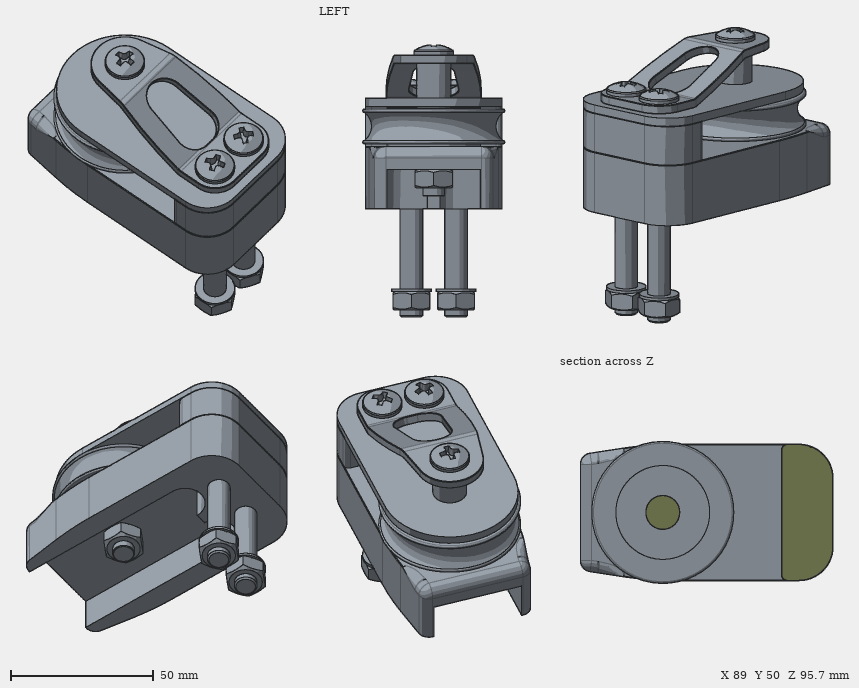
import cadquery as cq
import math


base_height = 21.9
plate_bottom = 36.0
plate_thickness = 3.0
plate_top = plate_bottom + plate_thickness
strap_thickness = 3.1
strap_low_top = plate_top + strap_thickness
strap_high_top = 54.2
strap_high_bottom = strap_high_top - strap_thickness

half_width = 24.0
back_x = 60.0
back_corner_radius = 12.1
base_edge_break = 0.3

nose_x = -29.0
nose_radius = 4.0
nose_half_width = 20.9
flare_start_x = -25.5
flare_corner_x = -4.8
flare_radius = 102.5
flare_slope = (half_width - nose_half_width) / (flare_corner_x - flare_start_x)
nose_corner_y = half_width - flare_slope * (flare_corner_x - nose_x)
nose_round_end_x = -22.8
runout_length = 9.6
runout_stations = (0.35, 0.7, 0.95)
cavity_half_width = 16.4
cavity_height = 13.8
rib_width = 4.4
lobe_radius = (2 * cavity_half_width - rib_width) / 4
lobe_center_x = 34.1

spacer_front_x = 41.8
spacer_front_radius = 2.1
spacer_edge_break = 0.2

sheave_radius = 25.0
sheave_half_height = 6.1
sheave_mid_height = 29.0
throat_radius = 21.9
rim_radius = 0.62
hub_diameter = 33.0
hub_top_rise = 0.4
pin_diameter = 12.0
pin_tail_diameter = 7.7
pin_tail_bottom = 4.5

strap_nose_radius = 12.0
strap_taper_angle = 10.5
strap_half_width = 16.8
strap_curve_start_x = 11.7
strap_curve_end_x = 38.4
strap_corner_radius = 8.9
upper_bend_x = 10.4
lower_bend_x = 39.1
bend_inner_radius = 2.8
strap_edge_break = 0.24
slot_front_x = 19.2
slot_front_radius = 7.3
slot_back_x = 32.95
slot_back_radius = 6.7
slot_back_offset = 2.0

screw_x = back_x - back_corner_radius
screw_y = 7.9
bolt_diameter = 8.0
bolt_bottom = -38.0
bolt_tip_chamfer = 0.6
pin_tip_chamfer = 0.3
head_diameter = 14.0
head_side_height = 1.15
head_round_height = 0.5
head_round_inset = 0.3
head_height = 3.6
recess_half_length = 3.5
recess_arm_width = 1.9
recess_corner_radius = 1.0
recess_depth = 2.9
recess_taper = 9.0
pin_recess_angle = 0.0
left_recess_angle = 53.0
right_recess_angle = 20.0
washer_top = -28.2
washer_thickness = 1.0
nut_across_flats = 13.0
nut_height = 6.5
nut_face_radius = 5.8
nut_chamfer_angle = 30.0

clearance = 0.5


def cylinder(diameter, bottom, top):
    return cq.Workplane("XY").workplane(offset=bottom).circle(diameter / 2).extrude(top - bottom)


def slab(x_start, x_end, half_y, bottom, top):
    """Box centred on Y = 0."""
    box = cq.Workplane("XY").box(x_end - x_start, 2 * half_y, top - bottom, centered=(False, True, False))
    return box.translate((x_start, 0, bottom))


def make_base_blank():
    """Tapered block with tall round corners at both ends."""
    corners = [
        (nose_x, -nose_corner_y),
        (flare_corner_x, -half_width),
        (back_x, -half_width),
        (back_x, half_width),
        (flare_corner_x, half_width),
        (nose_x, nose_corner_y),
    ]
    blank = cq.Workplane("XY").polyline(corners).close().extrude(base_height)
    blank = blank.edges("|Z and <X").fillet(nose_radius)
    blank = blank.edges("|Z and >X").fillet(back_corner_radius)
    flare_zone = cq.selectors.BoxSelector(
        (flare_corner_x - clearance, -half_width - clearance, -clearance),
        (flare_corner_x + clearance, half_width + clearance, base_height + clearance),
    )
    return blank.edges("|Z").edges(flare_zone).fillet(flare_radius)


def make_runout(side):
    """Tool that fades the nose rounding out along one side of the base."""
    flare_angle = math.atan(flare_slope)
    start_y = half_width - flare_slope * (flare_corner_x - nose_round_end_x)
    start = cq.Vector(nose_round_end_x, side * start_y, base_height)
    along = cq.Vector(math.cos(flare_angle), side * math.sin(flare_angle), 0)
    inward = cq.Vector(math.sin(flare_angle), -side * math.cos(flare_angle), 0)
    down = cq.Vector(0, 0, -1)

    def section(distance, inset, drop):
        """Edge waste outside a quarter ellipse, at a distance along the side."""
        def at(across, depth):
            return start + along * distance + inward * across + down * depth

        outward = inward * -1
        up = down * -1
        quarter = cq.Edge.makeEllipse(inset, drop, at(inset, drop), outward.cross(up), outward, 0, 90)
        corners = [
            at(inset, 0),
            at(inset, -clearance),
            at(-clearance, -clearance),
            at(-clearance, drop),
            at(0, drop),
        ]
        edges = [quarter]
        for begin, end in zip(corners, corners[1:]):
            edges.append(cq.Edge.makeLine(begin, end))
        return cq.Wire.assembleEdges(edges)

    full_round = section(0, nose_radius, nose_radius)
    lead_in = cq.Solid.makeLoft([section(-clearance, nose_radius, nose_radius), full_round], True)
    fading = [full_round]
    for fraction in runout_stations:
        inset = nose_radius * math.sqrt(1 - fraction**2)
        fading.append(section(fraction * runout_length, inset, nose_radius * (1 - fraction)))
    return cq.Workplane(obj=lead_in).union(cq.Workplane(obj=cq.Solid.makeLoft(fading)))


def make_cavity():
    """Pocket open at the nose and underneath, ending in two round lobes with a rib between."""
    cavity = slab(nose_x - clearance, lobe_center_x, cavity_half_width, -clearance, cavity_height)
    lobe_y = cavity_half_width - lobe_radius
    for y in (-lobe_y, lobe_y):
        lobe = cylinder(2 * lobe_radius, -clearance, cavity_height)
        cavity = cavity.union(lobe.translate((lobe_center_x, y, 0)))
    return cavity


def make_base():
    blank = make_base_blank()
    nose_zone = slab(nose_x - clearance, nose_round_end_x, half_width, 0, base_height)
    nose = blank.intersect(nose_zone)
    nose = nose.faces(">Z").edges("not(>X)").fillet(nose_radius)
    body = blank.cut(nose_zone)
    body = body.faces(">Z").edges("not(<X)").chamfer(base_edge_break)
    for side in (-1, 1):
        body = body.cut(make_runout(side))
    return nose.union(body).cut(make_cavity())


def make_spacer():
    spacer = slab(spacer_front_x, back_x, half_width, base_height, plate_bottom)
    spacer = spacer.edges("|Z and <X").fillet(spacer_front_radius)
    spacer = spacer.edges("|Z and >X").fillet(back_corner_radius)
    return spacer.faces(">Z").edges().chamfer(spacer_edge_break)


def make_cover_plate():
    plate = slab(0, back_x, half_width, plate_bottom, plate_top)
    plate = plate.edges("|Z and >X").fillet(back_corner_radius)
    return plate.union(cylinder(2 * half_width, plate_bottom, plate_top))


def make_sheave():
    """Grooved wheel with round rims and a raised hub that rests on the base."""
    rim_x = sheave_radius - rim_radius
    rim_z = sheave_half_height - rim_radius
    groove_z = sheave_half_height - 2 * rim_radius
    profile = (
        cq.Workplane("XZ")
        .moveTo(0, -sheave_half_height)
        .lineTo(rim_x, -sheave_half_height)
        .threePointArc((sheave_radius, -rim_z), (rim_x, -groove_z))
        .threePointArc((throat_radius, 0), (rim_x, groove_z))
        .threePointArc((sheave_radius, rim_z), (rim_x, sheave_half_height))
        .lineTo(0, sheave_half_height)
        .close()
    )
    wheel = profile.revolve(360, (0, 0), (0, 1)).translate((0, 0, sheave_mid_height))
    hub_top = sheave_mid_height + sheave_half_height + hub_top_rise
    return wheel.union(cylinder(hub_diameter, base_height, hub_top))


def make_strap_side():
    """Side profile of the strap: high end, sloping middle, low end."""
    slope_angle = math.atan2(strap_high_top - strap_low_top, lower_bend_x - upper_bend_x)
    bend_shift = strap_thickness * math.tan(slope_angle / 2)
    upper_x = upper_bend_x - bend_shift
    lower_x = lower_bend_x - bend_shift
    corners = [
        (-strap_nose_radius, strap_high_top),
        (upper_bend_x, strap_high_top),
        (lower_bend_x, strap_low_top),
        (back_x, strap_low_top),
        (back_x, plate_top),
        (lower_x, plate_top),
        (upper_x, strap_high_bottom),
        (-strap_nose_radius, strap_high_bottom),
    ]
    side = cq.Workplane("XZ").polyline(corners).close().extrude(half_width, both=True)
    bend_outer_radius = bend_inner_radius + strap_thickness
    bends = [
        (upper_bend_x, strap_high_top, bend_outer_radius),
        (upper_x, strap_high_bottom, bend_inner_radius),
        (lower_bend_x, strap_low_top, bend_inner_radius),
        (lower_x, plate_top, bend_outer_radius),
    ]
    for x, z, radius in bends:
        side = side.edges(cq.selectors.NearestToPointSelector((x, 0, z))).fillet(radius)
    return side, slope_angle


def make_strap():
    """Bent strap whose outline widens from the round nose to the screw end."""
    side, slope_angle = make_strap_side()
    taper = math.radians(strap_taper_angle)
    nose_end_x = -strap_nose_radius * math.sin(taper)
    nose_end_y = strap_nose_radius * math.cos(taper)
    curve_start_y = nose_end_y + (strap_curve_start_x - nose_end_x) * math.tan(taper)
    corner_y = strap_half_width - strap_corner_radius
    half_outline = (
        cq.Workplane("XY")
        .moveTo(-strap_nose_radius, 0)
        .radiusArc((nose_end_x, nose_end_y), strap_nose_radius)
        .lineTo(strap_curve_start_x, curve_start_y)
        .tangentArcPoint((strap_curve_end_x, strap_half_width), relative=False)
        .lineTo(screw_x, strap_half_width)
        .radiusArc((screw_x + strap_corner_radius, corner_y), strap_corner_radius)
        .lineTo(screw_x + strap_corner_radius, 0)
    )
    strap = half_outline.mirrorX().extrude(strap_high_top + clearance).intersect(side)
    strap = strap.faces(">X").edges("|Y").chamfer(strap_edge_break)
    strap = strap.cut(make_slot(slope_angle))
    return break_slot_edges(strap, slope_angle)


def break_slot_edges(strap, slope_angle):
    """Chamfer both rims of the slot; each chamfer follows the smooth rim from one straight side."""
    rim_x = (slot_front_x + slot_back_x) / 2
    rim_y = (slot_front_radius + slot_back_offset + slot_back_radius) / 2
    rim_z = strap_high_top - (rim_x - upper_bend_x) * math.tan(slope_angle)
    for depth in (0, strap_thickness):
        rim_point = (rim_x - depth * math.sin(slope_angle), rim_y, rim_z - depth * math.cos(slope_angle))
        rim_side = cq.selectors.NearestToPointSelector(rim_point)
        strap = strap.edges(rim_side).chamfer(strap_edge_break)
    return strap


def make_slot(slope_angle):
    """Tapered window cut square to the sloping part of the strap."""
    front_along = (slot_front_x - upper_bend_x) / math.cos(slope_angle)
    back_along = (slot_back_x - upper_bend_x) / math.cos(slope_angle)
    run = back_along - front_along
    spread = math.hypot(run, slot_back_offset)
    spread_angle = math.atan2(slot_back_offset, run)
    normal_angle = spread_angle + math.acos((slot_front_radius - slot_back_radius) / spread)
    normal_x = math.cos(normal_angle)
    normal_y = math.sin(normal_angle)
    slope_plane = cq.Plane(
        origin=(upper_bend_x, 0, strap_high_top),
        xDir=(math.cos(slope_angle), 0, -math.sin(slope_angle)),
        normal=(math.sin(slope_angle), 0, math.cos(slope_angle)),
    )
    front_tangent = (front_along + slot_front_radius * normal_x, slot_front_radius * normal_y)
    back_tangent = (back_along + slot_back_radius * normal_x, slot_back_offset + slot_back_radius * normal_y)
    half_outline = (
        cq.Workplane(slope_plane)
        .moveTo(front_along - slot_front_radius, 0)
        .radiusArc(front_tangent, slot_front_radius)
        .lineTo(*back_tangent)
        .radiusArc((back_along + slot_back_radius, slot_back_offset), slot_back_radius)
        .lineTo(back_along + slot_back_radius, 0)
    )
    return half_outline.mirrorX().extrude(2 * strap_thickness, both=True)


def make_screw_head(seat_height, recess_angle):
    """Domed head with a cross recess, centred on the Z axis."""
    radius = head_diameter / 2
    shoulder_radius = radius - head_round_inset
    shoulder_z = head_side_height + head_round_height
    dome_rise = head_height - shoulder_z
    dome_radius = (shoulder_radius**2 + dome_rise**2) / (2 * dome_rise)
    head = (
        cq.Workplane("XZ")
        .lineTo(radius, 0)
        .lineTo(radius, head_side_height)
        .lineTo(shoulder_radius, shoulder_z)
        .radiusArc((0, head_height), -dome_radius)
        .close()
        .revolve(360, (0, 0), (0, 1))
    )
    recess = make_cross_recess().translate((0, 0, head_height))
    head = head.cut(recess).rotate((0, 0, 0), (0, 0, 1), recess_angle)
    return head.translate((0, 0, seat_height))


def turned(x, y, angle):
    """Point turned about the origin."""
    return (
        x * math.cos(angle) - y * math.sin(angle),
        x * math.sin(angle) + y * math.cos(angle),
    )


def make_cross_recess():
    """Four-armed tapered tool with rounded inner corners, cutting down from Z = 0."""
    arm = recess_arm_width / 2
    root = arm + recess_corner_radius
    outline = cq.Workplane("XY").moveTo(recess_half_length, -arm)
    for quarter in range(4):
        angle = math.radians(90 * quarter)
        outline = outline.lineTo(*turned(recess_half_length, arm, angle))
        outline = outline.lineTo(*turned(root, arm, angle))
        outline = outline.radiusArc(turned(arm, root, angle), recess_corner_radius)
        outline = outline.lineTo(*turned(arm, recess_half_length, angle))
    return outline.close().extrude(-recess_depth, taper=recess_taper)


def make_nut(top):
    """Hexagon nut with both faces chamfered; two corners lie along X."""
    across_corners = nut_across_flats / math.cos(math.pi / 6)
    corner_drop = (across_corners / 2 - nut_face_radius) * math.tan(math.radians(nut_chamfer_angle))
    turned_blank = (
        cq.Workplane("XZ")
        .lineTo(nut_face_radius, 0)
        .lineTo(across_corners / 2, corner_drop)
        .lineTo(across_corners / 2, nut_height - corner_drop)
        .lineTo(nut_face_radius, nut_height)
        .lineTo(0, nut_height)
        .close()
        .revolve(360, (0, 0), (0, 1))
    )
    hexagon = cq.Workplane("XY").polygon(6, across_corners).extrude(nut_height)
    return hexagon.intersect(turned_blank).translate((0, 0, top - nut_height))


def make_pin():
    """Sheave pin: screw head above the strap, nut and tail inside the base."""
    pin = cylinder(pin_diameter, base_height, strap_high_bottom)
    tail = cylinder(pin_tail_diameter, pin_tail_bottom, cavity_height)
    tail = tail.faces("<Z").chamfer(pin_tip_chamfer)
    head = make_screw_head(strap_high_top, pin_recess_angle)
    return pin.union(tail).union(make_nut(cavity_height)).union(head)


def make_bolt(y, recess_angle):
    """Through bolt with head, washer and nut."""
    bolt = cylinder(bolt_diameter, bolt_bottom, strap_low_top)
    bolt = bolt.faces("<Z").chamfer(bolt_tip_chamfer)
    washer_bottom = washer_top - washer_thickness
    bolt = bolt.union(cylinder(head_diameter, washer_bottom, washer_top))
    bolt = bolt.union(make_nut(washer_bottom))
    bolt = bolt.union(make_screw_head(strap_low_top, recess_angle))
    return bolt.translate((screw_x, y, 0))


result = (
    make_base()
    .union(make_spacer())
    .union(make_cover_plate())
    .union(make_sheave())
    .union(make_strap())
    .union(make_pin())
    .union(make_bolt(screw_y, left_recess_angle))
    .union(make_bolt(-screw_y, right_recess_angle))
)